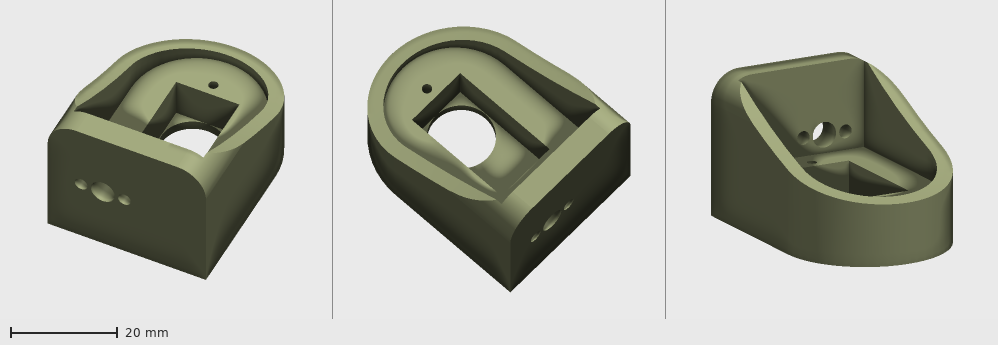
import cadquery as cq

width = 33.0
length = 46.0
height = 28.0
side_wall = 3.0
front_wall = 5.0
corner_radius = 6.0
outer_radius = width / 2
round_center_y = length - outer_radius

rim_back_height = 11.95
rim_middle_height = 16.45

floor_height = 10.4
base_thickness = 2.0
pocket_width = 13.2
pocket_length = 22.9
pocket_center_y = 23.0
opening_radius = 6.5
opening_center_y = pocket_center_y + pocket_length / 2 - opening_radius
screw_hole_radius = 0.95
screw_spacing = 27.6

port_center_x = -5.0
port_center_z = 14.0
port_radius = 2.5
port_side_radius = 1.35
port_side_offset = 4.5


def round_ended_block(half_width, front_y, bottom_z):
    """Block from bottom_z to the full height, with a semicircular back end."""
    return (
        cq.Workplane("XY", origin=(0, 0, bottom_z))
        .moveTo(-half_width, front_y)
        .lineTo(half_width, front_y)
        .lineTo(half_width, round_center_y)
        .threePointArc((0, round_center_y + half_width), (-half_width, round_center_y))
        .close()
        .extrude(height - bottom_z)
    )


def rounded_front_profile():
    """Front outline with rounded upper corners, extended over the full length."""
    return (
        cq.Workplane("XY")
        .box(width, length, height, centered=(True, False, False))
        .edges("|Y and >Z")
        .fillet(corner_radius)
    )


def rim_cutter():
    """Material above the concave rim, across the full width."""
    return (
        cq.Workplane("YZ")
        .moveTo(front_wall, height)
        .threePointArc((round_center_y, rim_middle_height), (length, rim_back_height))
        .lineTo(length, height)
        .close()
        .extrude(outer_radius, both=True)
    )


def vertical_hole(center_y, radius, bottom_z):
    """Cylinder on the centre plane, from bottom_z up to the recess floor."""
    return (
        cq.Workplane("XY", origin=(0, center_y, bottom_z))
        .circle(radius)
        .extrude(floor_height - bottom_z)
    )


def front_hole(center_x, radius):
    """Cylinder through the front wall."""
    return (
        cq.Workplane("XZ", origin=(center_x, 0, port_center_z))
        .circle(radius)
        .extrude(-front_wall)
    )


body = round_ended_block(outer_radius, 0, 0).intersect(rounded_front_profile())
body = body.cut(rim_cutter())
body = body.cut(round_ended_block(outer_radius - side_wall, front_wall, floor_height))

pocket = (
    cq.Workplane("XY", origin=(0, pocket_center_y, base_thickness))
    .rect(pocket_width, pocket_length)
    .extrude(floor_height - base_thickness)
)
body = body.cut(pocket)
body = body.cut(vertical_hole(opening_center_y, opening_radius, 0))

for side in (-1, 1):
    screw_y = pocket_center_y + side * screw_spacing / 2
    body = body.cut(vertical_hole(screw_y, screw_hole_radius, base_thickness))

body = body.cut(front_hole(port_center_x, port_radius))
for side in (-1, 1):
    body = body.cut(front_hole(port_center_x + side * port_side_offset, port_side_radius))

result = body